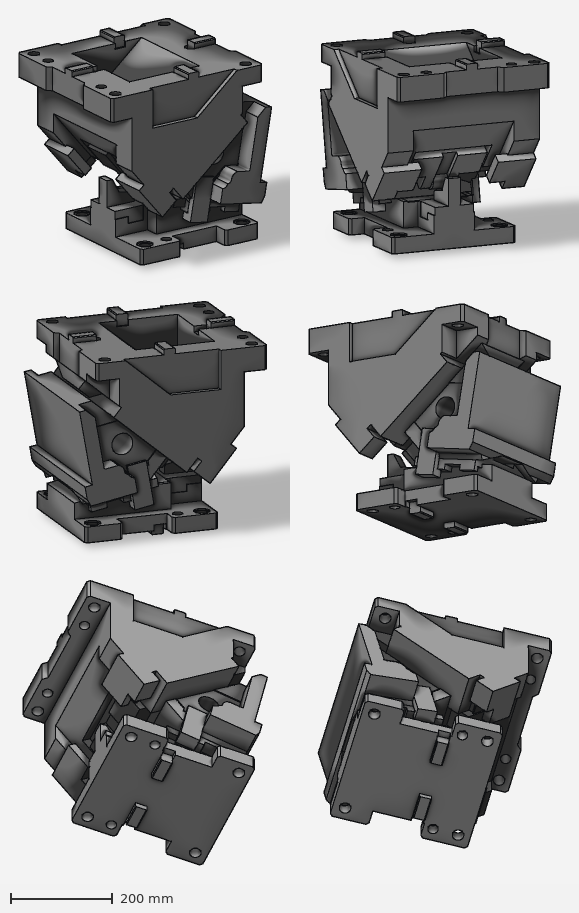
import cadquery as cq
import math


BIG = 798.0

RAMP_ANGLE = math.radians(40)
TIP_Y = -32.5
TIP_Z = 132.0

RAIL_ANGLE = math.radians(10)
RAIL_Y = 66.5
RAIL_Z = 87.0

KEY_WIDTH = 24.7
KEY_LENGTH = 49.5
KEY_RISE = 12.0
KEY_CHAMFER = 2.0

DRIVER_HALF = 165.0
DRIVER_TOP = 375.0
DRIVER_REAR = 158.5
DRIVER_FRONT = -202.0
PLATE_BOTTOM = 325.5
CORNER_CHAMFER = 5.0
FLANK_FRONT = -153.5
REAR_RELIEF_HALF = 109.7
REAR_RELIEF_Y = 109.7
REAR_RELIEF_TOP = 339.5
RAMP_STEP = -201.0
STEP_RISE = 24.5
BEVEL_ALONG = 40.3
NOTCH_WIDTH = 10.97
NOTCH_TOP = 35.5
HOOK_END = 55.5
HOOK_BOTTOM = 10.5
HOOK_TOP = 97.0
HOOK_INNER = 83.0
THIN_HOOK_HALF = 117.0
THIN_HOOK_BOTTOM = 32.7
THIN_HOOK_START = 36.5
BAY_HALF = 109.0
BAY_ALONG = 14.5
BAY_REACH = 199.5
BAY_CEILING = 100.0
TONGUE_HALF = 79.8
TONGUE_TOP = 77.5
TONGUE_BOTTOM = 17.5
TONGUE_BACK = -7.0
STEM_HALF = 36.7
STEM_BOTTOM = -23.5
STEM_START = -87.8
STEM_FLAT_Z = 107.7
SLOT_HALF = 15.5
SLOT_ALONG = 5.0
ROLLER_Y = -27.0
ROLLER_Z = 124.0
ROLLER_RADIUS = 19.5
STOP_BLOCK_TOP_HALF = 79.8
STOP_BLOCK_BOTTOM_HALF = 44.0
STOP_BLOCK_FRONT = -210.3
STOP_BLOCK_REAR = 149.2
STOP_BLOCK_BOTTOM = 3.5
POCKET_HALF = 100.5
POCKET_REAR = 50.3
POCKET_FLOOR_REAR = -34.5
POCKET_FRONT = -115.7
SCOOP_INNER = 154.5
SCOOP_REAR = 96.5
SCOOP_FLOOR_REAR = 1.5
SCOOP_FRONT = -104.0
SCOOP_FLOOR = 295.0
WAIST_DEPTH = 9.5
REAR_WAIST_HALF = 60.5
FRONT_WAIST_HALF = 56.0
BOLT_HOLE = 22.7
DOWEL_HOLE = 20.5
DRIVER_BOLT_X = 142.0
DRIVER_BOLT_REAR = 132.5
DRIVER_BOLT_FRONT = -178.0
DRIVER_DOWEL_X = 92.5

SLIDER_HALF = 151.0
SLIDER_END = -28.0
SLIDER_WALL = 109.7
WALL_RECESS = 2.0
SLIDER_TOP = 207.0
SLIDER_REAR = 87.5
FOOT_REAR = 103.0
FOOT_TOP = 52.3
FOOT_CHAMFER_TOP = 25.0
BOTTOM_REAR = 97.5
LEDGE_BOTTOM = 10.5
RIDGE_OUTER = 106.0
LEDGE_FRONT = -2.0
LEDGE_TOP_FRONT = 73.0
LEDGE_THIN_FRONT = 57.5
LEDGE_TAPER_UP = 187.0
SHELF_UP = 76.5
SHELF_FILLET = 4.0
HUMP_START = (27.5, SHELF_UP)
HUMP_MIDDLE = (19.5, 70.5)
HUMP_END = (16.0, 60.5)
DIP_MIDDLE = (13.0, 54.0)
DIP_END = (8.8, 52.0)
TAIL_MIDDLE = (5.0, 45.5)
TAIL_UP = 42.0
RECESS_REAR_UP = 151.5
RECESS_FRONT = -56.3
RECESS_FRONT_DEPTH = -27.0
RECESS_CORNER = (-48.3, 44.0)
CROSS_HOLE = 44.0
CROSS_HOLE_Y = 81.8
CROSS_HOLE_Z = 187.0
KEEPER_LENGTH = 40.5
KEEPER_TOP = 56.5
KEEPER_BOTTOM = -36.5
KEEPER_OUTER = 116.5
KEEPER_INNER = 102.5
LIP_INNER = 89.0

BASE_HALF = 134.0
BASE_REAR = 170.0
BASE_FRONT = -110.5
BASE_THICKNESS = 32.7
WAIST_HALF = 101.7
WAIST_REAR = 90.5
WAIST_FRONT = -14.8
BLOCK_HALF = 74.5
BLOCK_FRONT = -34.5
BLOCK_TOP = 85.8
BLOCK_SLOPE_UP = -2.8
GROOVE_HALF = 64.5
GROOVE_DEPTH = 2.0
POST_HALF = 44.0
INSERT_HALF = 42.0
STOP_HALF = 13.35
STOP_REAR = -44.0
STOP_TOP = 141.2
STOP_TOP_REAR = -97.0
STOP_RADIUS = 7.0
STOP_SHOULDER_Z = 105.5
STOP_SHOULDER_Y = -80.5
INSERT_BOTTOM = 55.0
INSERT_STEP_Y = -79.5
INSERT_STEP_Z = 69.5
BASE_KEY_INNER = 39.0
RAIL_HALF = 100.0
RAIL_END_HALF = 87.8
RAIL_REAR = 82.0
RAIL_SHOULDER = -40.5
RAIL_END = -68.0
RAIL_BOTTOM = -21.0
RAIL_RELIEF = -10.5
RELIEF_REAR = 48.0
RELIEF_FRONT = 12.5
END_BOTTOM = -12.8
ROOF_INNER = 36.7
ROOF_RISE = 23.0
CHANNEL_FLOOR = 14.5
BASE_HOLE_X = 109.5
BASE_BOLT_REAR = 145.2
BASE_BOLT_FRONT = -85.5
BASE_DOWEL_Y = -34.5
COUNTERBORE = 32.5
COUNTERBORE_DEPTH = 2.8


def ramp(along, above):
    """(Y, Z) of a place given along the ramp, downwards from the V tip, and square above it."""
    y = TIP_Y - along * math.cos(RAMP_ANGLE) - above * math.sin(RAMP_ANGLE)
    z = TIP_Z - along * math.sin(RAMP_ANGLE) + above * math.cos(RAMP_ANGLE)
    return y, z


def ramp_height(y, above):
    """Z at which a plane parallel to the ramp passes a given Y."""
    start_y, start_z = ramp(0, above)
    return start_z + (y - start_y) * math.tan(RAMP_ANGLE)


def bevel_height(y, along):
    """Z at which a plane square to the ramp passes a given Y."""
    start_y, start_z = ramp(along, 0)
    return start_z - (y - start_y) / math.tan(RAMP_ANGLE)


def rail(back, up):
    """(Y, Z) of a place given backwards along the rail and square above its roof edge."""
    y = RAIL_Y + back * math.cos(RAIL_ANGLE) + up * math.sin(RAIL_ANGLE)
    z = RAIL_Z - back * math.sin(RAIL_ANGLE) + up * math.cos(RAIL_ANGLE)
    return y, z


def box_in(frame, low, high):
    """Corners of a rectangle that lies square in the ramp or rail frame."""
    return [frame(low[0], low[1]), frame(high[0], low[1]), frame(high[0], high[1]), frame(low[0], high[1])]


def prism(points, half_width):
    """YZ outline extruded to both sides of X = 0."""
    return cq.Workplane("YZ").polyline(points).close().extrude(half_width, both=True)


def side_prisms(points, inner, outer):
    """YZ outline extruded from inner to outer on both sides."""
    right = cq.Workplane("YZ").workplane(offset=inner).polyline(points).close().extrude(outer - inner)
    return right.union(right.mirror("YZ"))


def block(x_range, y_range, z_range):
    size = [high - low for low, high in (x_range, y_range, z_range)]
    corner = (x_range[0], y_range[0], z_range[0])
    return cq.Workplane("XY").box(*size, centered=False).translate(corner)


def holes(places, diameter, bottom, height):
    return cq.Workplane("XY", origin=(0, 0, bottom)).pushPoints(places).circle(diameter / 2).extrude(height)


def mirrored(x, y):
    return [(-x, y), (x, y)]


def mirrored_outline(half_points):
    """Closed X outline from the points of its positive half."""
    return half_points + [(-x, y) for x, y in reversed(half_points)]


def tilted_prism(half_section, start, descent, length):
    """Symmetric (X, height) section extruded towards the front, descending by the given angle."""
    plane = cq.Plane(
        origin=(0, *start),
        xDir=(1, 0, 0),
        normal=(0, -math.cos(descent), -math.sin(descent)),
    )
    return cq.Workplane(plane).polyline(mirrored_outline(half_section)).close().extrude(length)


def rail_prism(half_section, front, rear):
    """Symmetric section extruded along the rail, which climbs towards the front."""
    return tilted_prism(half_section, rail(rear, 0), -RAIL_ANGLE, rear - front)



def driver_body():
    """Side outline: plate, front face, hooks, V tip and the stepped ramp."""
    outline = [
        (DRIVER_REAR, DRIVER_TOP),
        (DRIVER_FRONT, DRIVER_TOP),
        (DRIVER_FRONT, PLATE_BOTTOM),
        (FLANK_FRONT, PLATE_BOTTOM),
        (FLANK_FRONT, bevel_height(FLANK_FRONT, BEVEL_ALONG)),
        ramp(BEVEL_ALONG, HOOK_TOP),
        ramp(HOOK_END, HOOK_TOP),
        ramp(HOOK_END, HOOK_BOTTOM),
        ramp(NOTCH_WIDTH, HOOK_BOTTOM),
        ramp(NOTCH_WIDTH, NOTCH_TOP),
        ramp(0, NOTCH_TOP),
        ramp(0, 0),
        ramp(RAMP_STEP, 0),
        ramp(RAMP_STEP, STEP_RISE),
        (DRIVER_REAR, ramp_height(DRIVER_REAR, STEP_RISE)),
    ]
    return prism(outline, DRIVER_HALF)


def plate_edge_cuts():
    """Corner chamfers and the sloping-sided notches in the plate's front and rear edges."""
    plan = [
        (REAR_WAIST_HALF, DRIVER_REAR - WAIST_DEPTH),
        (REAR_WAIST_HALF + WAIST_DEPTH, DRIVER_REAR),
        (DRIVER_HALF - CORNER_CHAMFER, DRIVER_REAR),
        (DRIVER_HALF, DRIVER_REAR - CORNER_CHAMFER),
        (DRIVER_HALF, DRIVER_FRONT + CORNER_CHAMFER),
        (DRIVER_HALF - CORNER_CHAMFER, DRIVER_FRONT),
        (FRONT_WAIST_HALF + WAIST_DEPTH, DRIVER_FRONT),
        (FRONT_WAIST_HALF, DRIVER_FRONT + WAIST_DEPTH),
    ]
    outline = cq.Workplane("XY").polyline(mirrored_outline(plan)).close().extrude(DRIVER_TOP)
    return cq.Workplane("XY").rect(BIG, BIG).extrude(DRIVER_TOP).cut(outline)


def top_pocket():
    floor = DRIVER_TOP - (POCKET_REAR - POCKET_FLOOR_REAR) * math.tan(RAMP_ANGLE)
    outline = [
        (POCKET_REAR, DRIVER_TOP),
        (POCKET_FLOOR_REAR, floor),
        (POCKET_FRONT, floor),
        (POCKET_FRONT, DRIVER_TOP),
    ]
    return prism(outline, POCKET_HALF)


def side_scoops():
    outline = [
        (SCOOP_REAR, DRIVER_TOP),
        (SCOOP_FLOOR_REAR, SCOOP_FLOOR),
        (SCOOP_FRONT, SCOOP_FLOOR),
        (SCOOP_FRONT, DRIVER_TOP),
    ]
    return side_prisms(outline, SCOOP_INNER, DRIVER_HALF)


def front_bay():
    """Bay under the front face that leaves the thin pads of the hooks, and the gaps round the tongue."""
    bay = prism(box_in(ramp, (BAY_ALONG, -BIG), (BIG, BAY_REACH)), BAY_HALF)
    pads = prism(box_in(ramp, (THIN_HOOK_START, THIN_HOOK_BOTTOM), (HOOK_END, HOOK_TOP)), BAY_HALF)
    below_pads = prism(box_in(ramp, (NOTCH_WIDTH, -BIG), (BIG, THIN_HOOK_BOTTOM)), THIN_HOOK_HALF)
    above_tongue = prism(box_in(ramp, (TONGUE_BACK, -BIG), (BIG, BAY_CEILING)), HOOK_INNER)
    under_tongue = prism(box_in(ramp, (SLIDER_END, -BIG), (BIG, TONGUE_BOTTOM)), HOOK_INNER)
    return bay.cut(pads).union(below_pads).union(above_tongue).union(under_tongue)


def rear_stop_block():
    """Block with tapered sides that fills the ramp's rear step and ends upright at the rear."""
    rear_along = -BIG
    section = [
        (STOP_BLOCK_TOP_HALF, STEP_RISE),
        (STOP_BLOCK_BOTTOM_HALF, STOP_BLOCK_BOTTOM),
    ]
    bar = tilted_prism(section, ramp(rear_along, 0), RAMP_ANGLE, STOP_BLOCK_FRONT - rear_along)
    return bar.intersect(block((-BIG, BIG), (-BIG, STOP_BLOCK_REAR), (-BIG, BIG)))


def tongue():
    """T-shaped tongue with a slot in its end and a roller at its tip."""
    flange = prism(box_in(ramp, (TONGUE_BACK, TONGUE_BOTTOM), (BAY_ALONG, TONGUE_TOP)), TONGUE_HALF)
    stem = prism(box_in(ramp, (STEM_START, STEM_BOTTOM), (BAY_ALONG, TONGUE_TOP)), STEM_HALF)
    below_flat = block((-BIG, BIG), (-BIG, BIG), (STEM_FLAT_Z - BIG, STEM_FLAT_Z))
    slot = prism(box_in(ramp, (SLOT_ALONG, -BIG), (BIG, BIG)), SLOT_HALF)
    roller = (
        cq.Workplane("YZ").center(ROLLER_Y, ROLLER_Z).circle(ROLLER_RADIUS).extrude(SLOT_HALF, both=True)
    )
    return flange.union(stem).cut(below_flat).cut(slot).union(roller)


def key(x_range, y_range, top):
    """Key with its long top edges chamfered; the long direction is the larger of the two ranges."""
    bar = block(x_range, y_range, (top - 2 * KEY_RISE, top))
    lengthwise = "|X" if x_range[1] - x_range[0] > y_range[1] - y_range[0] else "|Y"
    return bar.edges(f"{lengthwise} and >Z").chamfer(KEY_CHAMFER)


def make_driver():
    key_half = KEY_WIDTH / 2
    across = (-key_half, key_half)
    rear_edge = DRIVER_REAR - WAIST_DEPTH
    front_edge = DRIVER_FRONT + WAIST_DEPTH
    key_top = DRIVER_TOP + KEY_RISE
    way_z = (DRIVER_TOP - KEY_RISE, DRIVER_TOP)

    driver = driver_body().cut(plate_edge_cuts()).cut(top_pocket()).cut(side_scoops())
    rear_relief = [
        (REAR_RELIEF_Y, ramp_height(REAR_RELIEF_Y, STEP_RISE)),
        (REAR_RELIEF_Y, REAR_RELIEF_TOP),
        (DRIVER_REAR, REAR_RELIEF_TOP),
        (DRIVER_REAR, ramp_height(DRIVER_REAR, STEP_RISE)),
    ]
    driver = driver.cut(side_prisms(rear_relief, REAR_RELIEF_HALF, DRIVER_HALF))
    driver = driver.cut(front_bay()).union(tongue()).union(rear_stop_block())

    bolts = mirrored(DRIVER_BOLT_X, DRIVER_BOLT_REAR) + mirrored(DRIVER_BOLT_X, DRIVER_BOLT_FRONT)
    driver = driver.cut(holes(bolts, BOLT_HOLE, 0, DRIVER_TOP))
    driver = driver.cut(holes(mirrored(DRIVER_DOWEL_X, DRIVER_BOLT_FRONT), DOWEL_HOLE, 0, DRIVER_TOP))

    round_y = rear_edge - KEY_LENGTH
    driver = driver.cut(block(across, (round_y, rear_edge), way_z))
    driver = driver.cut(holes([(0, round_y)], KEY_WIDTH, DRIVER_TOP - KEY_RISE, KEY_RISE))
    driver = driver.cut(block(across, (front_edge, POCKET_FRONT), way_z))
    driver = driver.cut(block((-SCOOP_INNER, SCOOP_INNER), across, way_z))

    driver = driver.union(key(across, (round_y, rear_edge), key_top))
    driver = driver.union(key(across, (front_edge, front_edge + KEY_LENGTH), key_top))
    side_key = key((SCOOP_INNER - KEY_LENGTH, SCOOP_INNER), across, key_top)
    return driver.union(side_key).union(side_key.mirror("YZ"))



def ramp_at_up(up):
    """Place where the ramp plane reaches a height above the rail."""
    tip_back = (TIP_Y - RAIL_Y) * math.cos(RAIL_ANGLE) - (TIP_Z - RAIL_Z) * math.sin(RAIL_ANGLE)
    tip_up = (TIP_Y - RAIL_Y) * math.sin(RAIL_ANGLE) + (TIP_Z - RAIL_Z) * math.cos(RAIL_ANGLE)
    back = tip_back + (up - tip_up) / math.tan(RAMP_ANGLE + RAIL_ANGLE)
    return rail(back, up)


def slider_rear_outline():
    """Rear edge of the slider, from its underside to its top."""
    return [
        rail(BOTTOM_REAR, 0),
        rail(BOTTOM_REAR, LEDGE_BOTTOM),
        rail(FOOT_REAR, FOOT_CHAMFER_TOP),
        rail(FOOT_REAR, FOOT_TOP),
        rail(SLIDER_REAR, FOOT_TOP),
        rail(SLIDER_REAR, SLIDER_TOP),
    ]


def slider_core():
    end_bottom = ramp(SLIDER_END, -BIG)
    outline = slider_rear_outline() + [ramp_at_up(SLIDER_TOP), ramp(SLIDER_END, 0), end_bottom]
    below_rail_edge = box_in(rail, (-BIG, -2 * BIG), (BIG, 0))
    return prism(outline, SLIDER_WALL).cut(prism(below_rail_edge, SLIDER_WALL))


def slider_ledges():
    """Side ledges along the rear edge, with a rounded, wavy step down to the keepers."""
    fillet_inset = SHELF_FILLET * (1 - math.sqrt(0.5))
    fillet_middle = rail(LEDGE_THIN_FRONT - fillet_inset, SHELF_UP + fillet_inset)
    ledge = (
        cq.Workplane("YZ").workplane(offset=SLIDER_WALL)
        .polyline(slider_rear_outline())
        .lineTo(*rail(LEDGE_TOP_FRONT, SLIDER_TOP))
        .lineTo(*rail(LEDGE_THIN_FRONT, LEDGE_TAPER_UP))
        .lineTo(*rail(LEDGE_THIN_FRONT, SHELF_UP + SHELF_FILLET))
        .threePointArc(fillet_middle, rail(LEDGE_THIN_FRONT - SHELF_FILLET, SHELF_UP))
        .lineTo(*rail(*HUMP_START))
        .threePointArc(rail(*HUMP_MIDDLE), rail(*HUMP_END))
        .threePointArc(rail(*DIP_MIDDLE), rail(*DIP_END))
        .threePointArc(rail(*TAIL_MIDDLE), rail(LEDGE_FRONT, TAIL_UP))
        .lineTo(*rail(LEDGE_FRONT, 0))
        .close()
        .extrude(SLIDER_HALF - SLIDER_WALL)
    )
    return ledge.union(ledge.mirror("YZ"))


def wall_recess():
    """Shallow recess in both side walls, between the slanted end pads."""
    outline = [
        rail(LEDGE_THIN_FRONT, RECESS_REAR_UP),
        ramp_at_up(RECESS_REAR_UP),
        ramp(RECESS_FRONT, 0),
        ramp(RECESS_FRONT, RECESS_FRONT_DEPTH),
        rail(*RECESS_CORNER),
        rail(LEDGE_FRONT, TAIL_UP),
        rail(*HUMP_START),
        rail(LEDGE_THIN_FRONT, SHELF_UP),
    ]
    return side_prisms(outline, SLIDER_WALL - WALL_RECESS, SLIDER_WALL)


def slider_underside():
    """Space below the slider: flat under the ledges, then a ridge and the groove over the rail roof."""
    section = [
        (BIG, -BIG),
        (BIG, LEDGE_BOTTOM),
        (RIDGE_OUTER, LEDGE_BOTTOM),
        (RAIL_HALF, 0),
        (ROOF_INNER, ROOF_RISE),
    ]
    return rail_prism(section, -BIG, BIG)


def keepers():
    """L-shaped keepers whose lips reach below the rail."""
    front = LEDGE_FRONT - KEEPER_LENGTH
    upright = box_in(rail, (front, KEEPER_BOTTOM), (LEDGE_FRONT, KEEPER_TOP))
    lip = box_in(rail, (front, KEEPER_BOTTOM), (LEDGE_FRONT, RAIL_BOTTOM))
    return side_prisms(upright, KEEPER_INNER, KEEPER_OUTER).union(side_prisms(lip, LIP_INNER, KEEPER_OUTER))


def make_slider():
    slider = slider_core().union(slider_ledges()).cut(slider_underside()).union(keepers())
    stem_channel = box_in(ramp, (STEM_START, STEM_BOTTOM), (BIG, BIG))
    slider = slider.cut(prism(stem_channel, STEM_HALF))
    cross_hole = (
        cq.Workplane("YZ").center(CROSS_HOLE_Y, CROSS_HOLE_Z).circle(CROSS_HOLE / 2).extrude(BIG, both=True)
    )
    return slider.cut(cross_hole).cut(wall_recess())



def base_plate():
    """Plate with four chamfered ears and a narrow waist."""
    c = CORNER_CHAMFER
    plan = [
        (BASE_HALF - c, BASE_REAR),
        (BASE_HALF, BASE_REAR - c),
        (BASE_HALF, WAIST_REAR + c),
        (BASE_HALF - c, WAIST_REAR),
        (WAIST_HALF, WAIST_REAR),
        (WAIST_HALF, WAIST_FRONT),
        (BASE_HALF - c, WAIST_FRONT),
        (BASE_HALF, WAIST_FRONT - c),
        (BASE_HALF, BASE_FRONT + c),
        (BASE_HALF - c, BASE_FRONT),
    ]
    return cq.Workplane("XY").polyline(mirrored_outline(plan)).close().extrude(BASE_THICKNESS)


def rail_block():
    """Block that carries the rail, with its top parallel to the rail."""
    rear_back = (BASE_REAR - RAIL_Y - BLOCK_SLOPE_UP * math.sin(RAIL_ANGLE)) / math.cos(RAIL_ANGLE)
    outline = [
        (BASE_REAR, 0),
        rail(rear_back, BLOCK_SLOPE_UP),
        rail(RAIL_END, BLOCK_SLOPE_UP),
        rail(RAIL_END, END_BOTTOM),
        (BLOCK_FRONT, BLOCK_TOP),
        (BLOCK_FRONT, 0),
    ]
    groove_z = BLOCK_TOP - GROOVE_DEPTH
    groove_end = rail(RAIL_END, END_BOTTOM)[0]
    groove = [
        (BLOCK_FRONT, BLOCK_TOP),
        (BLOCK_FRONT, groove_z),
        (groove_end, groove_z - (groove_end - BLOCK_FRONT) * math.tan(RAIL_ANGLE)),
        (groove_end, BLOCK_TOP),
    ]
    return prism(outline, BLOCK_HALF).cut(prism(groove, GROOVE_HALF))


def roof_section(half_width, bottom):
    """Half section of the rail: a roof with a flat-floored channel along its middle."""
    edge_rise = ROOF_RISE * (RAIL_HALF - half_width) / (RAIL_HALF - ROOF_INNER)
    return [
        (half_width, bottom),
        (half_width, edge_rise),
        (ROOF_INNER, ROOF_RISE),
        (ROOF_INNER, CHANNEL_FLOOR),
    ]


def guide_rail():
    wide = rail_prism(roof_section(RAIL_HALF, RAIL_BOTTOM), RAIL_SHOULDER, RAIL_REAR)
    end = rail_prism(roof_section(RAIL_END_HALF, END_BOTTOM), RAIL_END, RAIL_SHOULDER)
    inner_relief = box_in(rail, (RELIEF_FRONT, -BIG), (BIG, RAIL_RELIEF))
    outer_relief = box_in(rail, (RELIEF_FRONT, -BIG), (RELIEF_REAR, RAIL_RELIEF))
    wide = wide.cut(side_prisms(inner_relief, BLOCK_HALF, RAIL_END_HALF))
    return wide.cut(side_prisms(outer_relief, RAIL_END_HALF, RAIL_HALF)).union(end)


def stop_post():
    """Front post with a slightly narrower insert that rises into a thin stop."""
    post = block((-POST_HALF, POST_HALF), (BASE_FRONT, BLOCK_FRONT), (0, BLOCK_TOP))
    insert_outline = [
        (STOP_REAR, BLOCK_TOP),
        (STOP_REAR, INSERT_BOTTOM),
        (INSERT_STEP_Y, INSERT_BOTTOM),
        (INSERT_STEP_Y, INSERT_STEP_Z),
        (BASE_FRONT, INSERT_STEP_Z),
        (BASE_FRONT, BLOCK_TOP),
    ]
    post = post.cut(side_prisms(insert_outline, INSERT_HALF, POST_HALF))
    stop_outline = [
        (STOP_REAR, BLOCK_TOP),
        (STOP_REAR, STOP_SHOULDER_Z),
        (STOP_SHOULDER_Y, STOP_SHOULDER_Z + (STOP_REAR - STOP_SHOULDER_Y) * math.tan(RAIL_ANGLE)),
        (STOP_TOP_REAR, STOP_TOP),
        (BASE_FRONT, STOP_TOP),
        (BASE_FRONT, BLOCK_TOP),
    ]
    stop = prism(stop_outline, STOP_HALF)
    stop = stop.edges(cq.selectors.NearestToPointSelector((0, STOP_REAR, STOP_SHOULDER_Z))).fillet(STOP_RADIUS)
    return post.union(stop)


def make_base():
    base = base_plate().union(rail_block()).union(guide_rail()).union(stop_post())

    bolts = mirrored(BASE_HOLE_X, BASE_BOLT_REAR) + mirrored(BASE_HOLE_X, BASE_BOLT_FRONT)
    base = base.cut(holes(bolts, BOLT_HOLE, 0, BASE_THICKNESS))
    base = base.cut(holes(bolts, COUNTERBORE, BASE_THICKNESS - COUNTERBORE_DEPTH, COUNTERBORE_DEPTH))
    base = base.cut(holes(mirrored(BASE_HOLE_X, BASE_DOWEL_Y), DOWEL_HOLE, 0, BASE_THICKNESS))

    across = (-KEY_WIDTH / 2, KEY_WIDTH / 2)
    keyway = block((BASE_KEY_INNER, WAIST_HALF), across, (0, KEY_RISE))
    base = base.cut(keyway).cut(keyway.mirror("YZ"))
    hanging_key = key((BASE_KEY_INNER, BASE_KEY_INNER + KEY_LENGTH), across, KEY_RISE).mirror("XY")
    return base.union(hanging_key).union(hanging_key.mirror("YZ"))


driver = make_driver()
slider = make_slider()
base = make_base()
result = cq.Compound.makeCompound([driver.val(), slider.val(), base.val()])